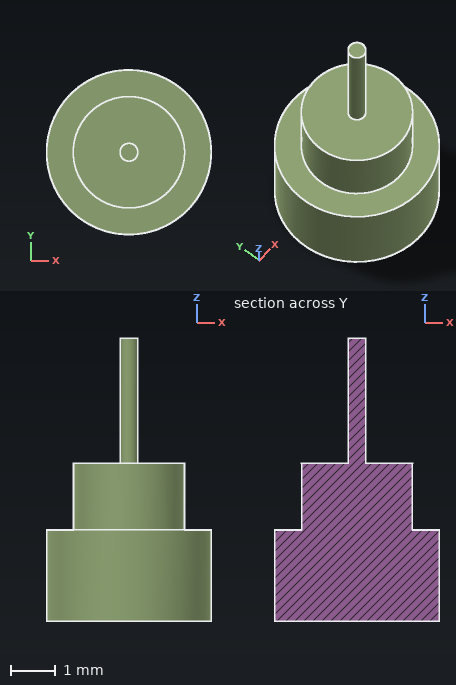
import cadquery as cq

total_height = 6.35
base_diameter = 3.7
base_height = 2.05
collar_diameter = 2.5
collar_height = 1.5
core_diameter = 1.95
pin_diameter = 0.4

collar_top = base_height + collar_height
pin_length = total_height - collar_top


def cylinder(diameter, height, bottom):
    """Upright cylinder on the Z axis, starting at the given level."""
    return cq.Workplane("XY").workplane(offset=bottom).circle(diameter / 2).extrude(height)


def collar_ring():
    """Outer sleeve of the collar, open for the core."""
    return (
        cq.Workplane("XY")
        .workplane(offset=base_height)
        .circle(collar_diameter / 2)
        .circle(core_diameter / 2)
        .extrude(collar_height)
    )


base = cylinder(base_diameter, base_height, 0)
core = cylinder(core_diameter, collar_height, base_height)
pin = cylinder(pin_diameter, pin_length, collar_top)

result = base
for piece in (collar_ring(), core, pin):
    result = result.union(piece, clean=False)